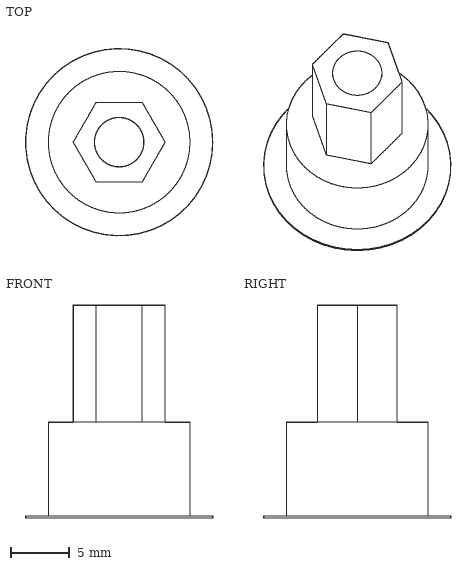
import cadquery as cq
import math

total_height = 18.2
flange_height = 0.2
body_height = 8.0
hex_height = total_height - flange_height - body_height

flange_diameter = 16.0
body_diameter = 12.1
hex_across_flats = 6.8
bore_diameter = 4.2

hex_across_corners = hex_across_flats / math.cos(math.pi / 6)

flange = cq.Workplane("XY").circle(flange_diameter / 2).extrude(flange_height)
body = flange.faces(">Z").workplane().circle(body_diameter / 2).extrude(body_height)
shank = body.faces(">Z").workplane().polygon(6, hex_across_corners).extrude(hex_height)

result = shank.faces(">Z").workplane().hole(bore_diameter)